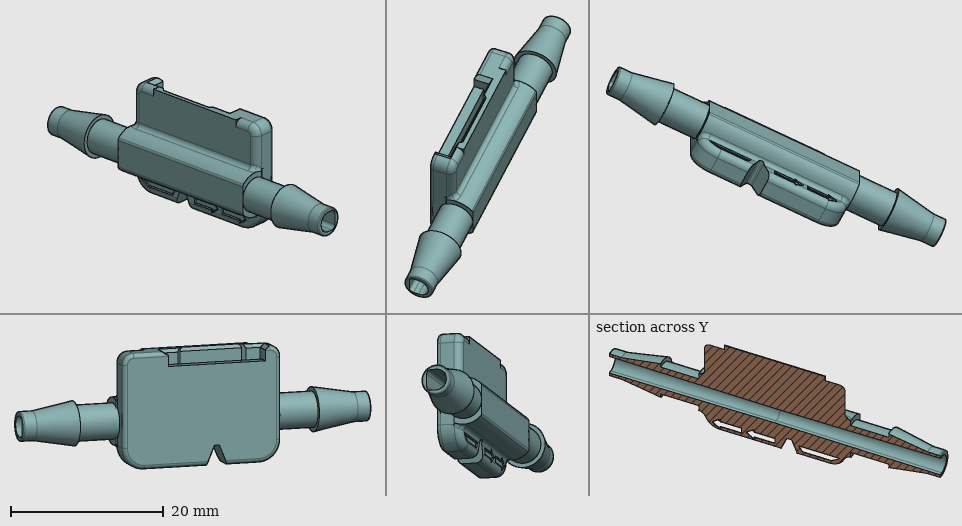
import cadquery as cq
import math

total_length = 48.0
half_length = total_length / 2

tube_radius = 2.4
barb_radius = 3.0
tip_radius = 1.95
tip_length = 1.8
tip_rounding = 0.15
barb_end = 7.5

bore_radius = 1.4
bore_back = 1.3
bore_corner = 0.6
bore_shrink = 0.2

plate_length = 21.8
plate_front = 0.4
plate_back = 3.85
plate_top = 9.45
plate_bottom = -6.0
top_corner = 1.5
bottom_corner = 3.0
front_rounding = 1.0
back_rounding = 0.6

body_length = 22.1
body_radius = 3.15
body_flat = 2.4
body_back = plate_front + front_rounding
body_edge_rounding = 0.5
root_fillet = 0.65

search_margin = 0.05

rim_length = 14.6

pocket_x = -2.05
pocket_half_width = 6.65
side_chamfer_width = 0.65
side_chamfer_depth = 0.5
ledge_front = 2.45
ledge_depth = 1.9
slot_depth = 3.85
slot_front = 1.45
relief_front = 1.0
relief_half_width = 4.0
slot_slope = 0.3
notch_tip_z = -3.3
notch_tip_half_width = 0.35
notch_half_width = 1.45
notch_tip_rounding = 0.25

mark_z = -4.35
mark_depth = 0.15
mark_taper = 45
shaft_half_height = 0.45
head_half_height = 0.9
head_length = 1.25
arrow_spans = [(-0.05, 4.2), (4.8, 9.1)]
bar_left = -9.6
bar_right = -3.45
bar_left_slant = 1.45
bar_right_slant = 0.5


def make_barbed_tube():
    """Tube with a hose barb at each end, revolved about X."""
    profile = (
        cq.Workplane("XY")
        .moveTo(0, 0)
        .lineTo(0, tube_radius)
        .lineTo(half_length - barb_end, tube_radius)
        .lineTo(half_length - barb_end, barb_radius)
        .lineTo(half_length - tip_length, tip_radius)
        .lineTo(half_length - tip_rounding, tip_radius)
        .radiusArc((half_length, tip_radius - tip_rounding), tip_rounding)
        .lineTo(half_length, 0)
        .close()
    )
    half = profile.revolve(360, (0, 0, 0), (1, 0, 0))
    return half.union(half.mirror("YZ"))


def make_plate():
    """Upright plate with rounded corners and rounded front and back rims."""
    height = plate_top - plate_bottom
    plate = cq.Workplane("XY").box(
        plate_length, plate_back - plate_front, height
    ).translate((0, (plate_front + plate_back) / 2, (plate_top + plate_bottom) / 2))
    plate = plate.edges("|Y and >Z").fillet(top_corner)
    plate = plate.edges("|Y and <Z").fillet(bottom_corner)
    plate = plate.faces(">Y").edges().fillet(back_rounding)
    return plate.faces("<Y").edges().fillet(front_rounding)


def make_body():
    """Round housing with a flat front."""
    body = cq.Workplane("YZ").circle(body_radius).extrude(body_length / 2, both=True)
    front = cq.Workplane("XY").box(
        body_length, body_radius, 2 * body_radius
    ).translate((0, -body_flat - body_radius / 2, 0))
    body = body.cut(front)
    return body.faces("<Y").edges("|X").fillet(body_edge_rounding)


def trim_body_ends(solid):
    """Cut the ends of the housing flush with the plate sides behind the rounded rim."""
    behind = cq.Workplane("XY").box(
        body_length, plate_back, 2 * body_radius, centered=(True, False, True)
    ).translate((0, body_back, 0))
    between = cq.Workplane("XY").box(plate_length, 4 * plate_back, 4 * body_radius)
    return solid.cut(behind.cut(between))


def make_rim():
    """Block that fills the rounded front top edge along its middle stretch."""
    return (
        cq.Workplane("XY")
        .box(rim_length, front_rounding, front_rounding, centered=(True, False, False))
        .translate((0, plate_front, plate_top - front_rounding))
    )


def make_bore():
    """D-shaped passage that narrows from both mouths to the middle."""
    shrink_angle = math.degrees(math.atan(bore_shrink / half_length))
    corner_y = bore_back - bore_corner
    corner_z = bore_radius - bore_corner
    half = (
        cq.Workplane("YZ", origin=(half_length, 0, 0))
        .moveTo(0, bore_radius)
        .threePointArc((-bore_radius, 0), (0, -bore_radius))
        .lineTo(corner_y, -bore_radius)
        .radiusArc((bore_back, -corner_z), -bore_corner)
        .lineTo(bore_back, corner_z)
        .radiusArc((corner_y, bore_radius), -bore_corner)
        .close()
        .extrude(-half_length, taper=shrink_angle)
    )
    return half.union(half.mirror("YZ"))


def slot_section(front, half_width):
    """Stretch of the stepped pocket whose front wall leans back below the top edge."""
    slope_z = plate_top - side_chamfer_depth
    return (
        cq.Workplane("YZ", origin=(pocket_x, 0, 0))
        .polyline([
            (front, plate_top),
            (front + slot_slope, slope_z),
            (front + slot_slope, plate_top - slot_depth),
            (ledge_front, plate_top - slot_depth),
            (ledge_front, plate_top - ledge_depth),
            (plate_back, plate_top - ledge_depth),
            (plate_back, plate_top),
        ])
        .close()
        .extrude(half_width, both=True)
    )


def make_pocket():
    """Pocket with chamfered side walls and a deeper relief along its front wall."""
    top_half_width = pocket_half_width + side_chamfer_width
    chamfer_z = plate_top - side_chamfer_depth
    floor_z = plate_top - slot_depth
    outline = (
        cq.Workplane("XZ", origin=(pocket_x, 0, 0))
        .polyline([
            (-top_half_width, plate_top),
            (-pocket_half_width, chamfer_z),
            (-pocket_half_width, floor_z),
            (pocket_half_width, floor_z),
            (pocket_half_width, chamfer_z),
            (top_half_width, plate_top),
        ])
        .close()
        .extrude(-plate_back)
    )
    slot = slot_section(slot_front, top_half_width)
    ramp = slot_front + slot_slope - relief_front
    relief_end = relief_half_width + ramp
    relief_outline = (
        cq.Workplane("XY", origin=(pocket_x, relief_front, floor_z))
        .polyline([
            (-relief_half_width, 0),
            (relief_half_width, 0),
            (relief_end, ramp),
            (-relief_end, ramp),
        ])
        .close()
        .extrude(slot_depth)
    )
    relief = slot_section(relief_front, relief_end).intersect(relief_outline)
    return slot.union(relief).intersect(outline)


def make_notch():
    """V notch with a rounded tip, through the lower rim of the plate."""
    notch = (
        cq.Workplane("XZ", origin=(pocket_x, -body_radius, 0))
        .polyline([
            (-notch_tip_half_width, notch_tip_z),
            (notch_tip_half_width, notch_tip_z),
            (notch_half_width, plate_bottom),
            (-notch_half_width, plate_bottom),
        ])
        .close()
        .extrude(-(body_radius + plate_back))
    )
    return notch.edges("|Y and >Z").fillet(notch_tip_rounding)


def engrave(points):
    """Shallow pocket with sloping walls in the lower front face of the plate."""
    marking = cq.Workplane("XZ", origin=(0, plate_front, mark_z)).polyline(points).close()
    return marking.extrude(-mark_depth, taper=mark_taper)


def arrow_points(tail, tip):
    """Outline of an arrow pointing along +X."""
    neck = tip - head_length
    return [
        (tail, -shaft_half_height),
        (neck, -shaft_half_height),
        (neck, -head_half_height),
        (tip, 0),
        (neck, head_half_height),
        (neck, shaft_half_height),
        (tail, shaft_half_height),
    ]


def bar_points():
    """Outline of the slant-ended bar left of the notch."""
    return [
        (bar_left, shaft_half_height),
        (bar_left + bar_left_slant, -shaft_half_height),
        (bar_right - bar_right_slant, -shaft_half_height),
        (bar_right, shaft_half_height),
    ]


def round_root(solid):
    """Blend the housing into the plate front above and below the tube."""
    root_z = math.sqrt(body_radius**2 - plate_front**2)
    edges = solid.edges(cq.selectors.BoxSelector(
        (-plate_length, plate_front - search_margin, -root_z - search_margin),
        (plate_length, plate_front + search_margin, root_z + search_margin),
    )).edges("|X")
    return edges.fillet(root_fillet)


shell = trim_body_ends(round_root(make_plate().union(make_body())))
shell = shell.union(make_barbed_tube()).union(make_rim())
shell = shell.cut(make_bore()).cut(make_pocket()).cut(make_notch())
for tail, tip in arrow_spans:
    shell = shell.cut(engrave(arrow_points(tail, tip)))
result = shell.cut(engrave(bar_points()))